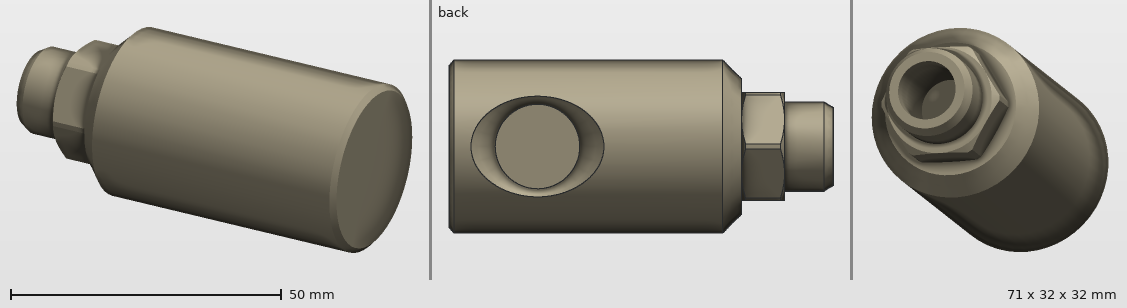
import cadquery as cq
import math

total_length = 71.0
spigot_length = 9.0
nut_length = 7.95
body_start = spigot_length + nut_length
body_length = total_length - body_start

body_diameter = 32.0
body_radius = body_diameter / 2
front_chamfer = 3.5
rear_chamfer_length = 1.1
rear_chamfer_depth = 0.9

nut_across_flats = 20.0
nut_corner_diameter = 22.6
nut_chamfer_angle = 30.0

spigot_diameter = 16.55
spigot_chamfer_length = 1.8
spigot_chamfer_depth = 1.1
bore_diameter = 11.0
bore_depth = body_start

recess_x = 54.7
recess_rim_radius = 12.3
button_radius = 7.8
button_top_depth = 1.8


def cylinder_along_x(start, length, diameter):
    return cq.Workplane("YZ").workplane(offset=start).circle(diameter / 2).extrude(length)


def make_body():
    return (
        cylinder_along_x(body_start, body_length, body_diameter)
        .faces("<X").chamfer(front_chamfer)
        .faces(">X").chamfer(rear_chamfer_depth, rear_chamfer_length)
    )


def make_nut():
    hex_diameter = nut_across_flats / math.cos(math.pi / 6)
    hexagon = cq.Workplane("YZ").workplane(offset=spigot_length).polygon(6, hex_diameter).extrude(nut_length)

    corner_radius = nut_corner_diameter / 2
    end_radius = nut_across_flats / 2
    bevel_length = (corner_radius - end_radius) * math.tan(math.radians(nut_chamfer_angle))
    envelope = (
        cq.Workplane("XY")
        .moveTo(spigot_length, 0)
        .lineTo(spigot_length, end_radius)
        .lineTo(spigot_length + bevel_length, corner_radius)
        .lineTo(body_start - bevel_length, corner_radius)
        .lineTo(body_start, end_radius)
        .lineTo(body_start, 0)
        .close()
        .revolve(360, (0, 0, 0), (1, 0, 0))
    )
    return hexagon.intersect(envelope)


def make_spigot():
    spigot_radius = spigot_diameter / 2
    return (
        cq.Workplane("XY")
        .lineTo(0, spigot_radius - spigot_chamfer_depth)
        .lineTo(spigot_chamfer_length, spigot_radius)
        .lineTo(spigot_length, spigot_radius)
        .lineTo(spigot_length, 0)
        .close()
        .revolve(360, (0, 0, 0), (1, 0, 0))
    )


def make_recess():
    cone_depth = recess_rim_radius - button_radius
    return (
        cq.Workplane("XY")
        .moveTo(recess_x, body_radius)
        .lineTo(recess_x + recess_rim_radius, body_radius)
        .lineTo(recess_x + button_radius, body_radius - cone_depth)
        .lineTo(recess_x, body_radius - cone_depth)
        .close()
        .revolve(360, (recess_x, 0, 0), (recess_x, 1, 0))
    )


def make_button():
    return (
        cq.Workplane("XZ")
        .center(recess_x, 0)
        .circle(button_radius)
        .extrude(-(body_radius - button_top_depth))
    )


bore = cylinder_along_x(0, bore_depth, bore_diameter)
turned_part = make_body().union(make_nut()).union(make_spigot()).cut(bore)
result = turned_part.cut(make_recess()).union(make_button())